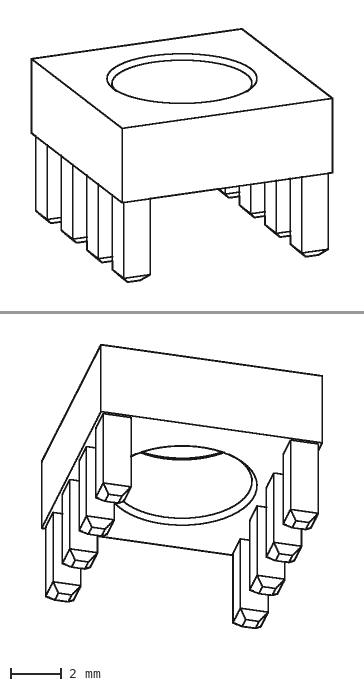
import cadquery as cq

body_side = 9.0
total_height = 6.6
body_height = 3.1
bore_diameter = 5.5
bore_chamfer = 0.2

pins_per_row = 4
pin_pitch = 2.54
pin_width = 1.13
tip_height = 0.3
tip_inset = 0.3

pin_length = total_height - body_height
row_spacing = (pins_per_row - 1) * pin_pitch


def make_body():
    """Block standing on Z = 0, bored through and chamfered at both bore mouths."""
    block = cq.Workplane("XY").rect(body_side, body_side).extrude(body_height)
    bore = cq.Workplane("XY").circle(bore_diameter / 2).extrude(body_height)
    mouth = (
        cq.Workplane("XY")
        .circle(bore_diameter / 2 + bore_chamfer)
        .workplane(offset=bore_chamfer)
        .circle(bore_diameter / 2)
        .loft(ruled=True)
    )
    top_mouth = mouth.mirror("XY").translate((0, 0, body_height))
    return block.cut(bore).cut(mouth).cut(top_mouth)


def make_pin(x, y):
    """Square pin hanging below the body, tapered at its tip."""
    shank = (
        cq.Workplane("XY")
        .center(x, y)
        .rect(pin_width, pin_width)
        .extrude(-pin_length)
    )
    return shank.faces("<Z").chamfer(tip_height, tip_inset)


result = make_body()
for y in (-row_spacing / 2, row_spacing / 2):
    for column in range(pins_per_row):
        x = column * pin_pitch - row_spacing / 2
        result = result.union(make_pin(x, y))